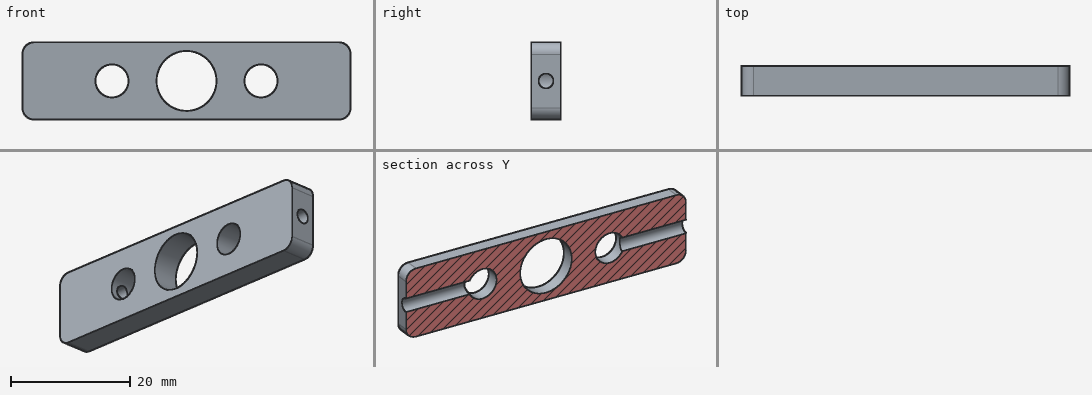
import cadquery as cq

length = 55.0
thickness = 5.0
height = 13.0
corner_radius = 2.0

center_hole_diameter = 10.0
side_hole_diameter = 5.5
side_hole_offset = 12.5

end_hole_diameter = 2.5
end_hole_depth = length / 2 - side_hole_offset


def make_plate():
    plate = cq.Workplane("XY").box(length, thickness, height)
    return plate.edges("|Y").fillet(corner_radius)


def cut_face_holes(body):
    side_positions = [(-side_hole_offset, 0), (side_hole_offset, 0)]
    body = body.faces("<Y").workplane(origin=(0, 0, 0)).hole(center_hole_diameter)
    return body.faces("<Y").workplane(origin=(0, 0, 0)).pushPoints(side_positions).hole(side_hole_diameter)


def cut_end_holes(body):
    for end_face in ("<X", ">X"):
        end_plane = body.faces(end_face).workplane(origin=(0, 0, 0))
        body = end_plane.hole(end_hole_diameter, end_hole_depth)
    return body


result = cut_end_holes(cut_face_holes(make_plate()))